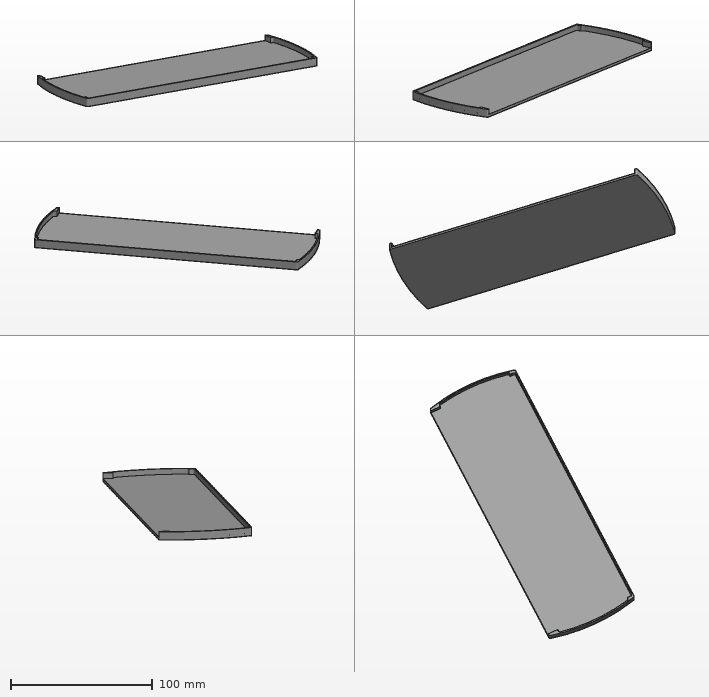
import cadquery as cq
import math

length = 200.0
width = 67.2
height = 6.0
floor_thickness = 2.0
wall = 1.0
corner_radius = 1.2
end_bow = 4.2
shoulder_inset = 5.8
left_block_edge = -26.2
right_block_edge = 28.8

half_width = width / 2
half_length = length / 2
bow_radius = (half_width**2 + end_bow**2) / (2 * end_bow)
bow_center_y = half_length - bow_radius
inner_bow_radius = bow_radius - wall
corner_y = half_length - end_bow
shoulder_y = half_length - shoulder_inset
wall_inner_x = half_width - wall
pocket_depth = height - floor_thickness


def inner_bow_y(x):
    """Y of the inner face of the +Y bowed wall."""
    return bow_center_y + math.sqrt(inner_bow_radius**2 - x**2)


def tray_blank():
    """Solid plate with straight sides, bowed ends and rounded corners."""
    return (
        cq.Workplane("XY")
        .moveTo(-half_width, -corner_y)
        .threePointArc((0, -half_length), (half_width, -corner_y))
        .lineTo(half_width, corner_y)
        .threePointArc((0, half_length), (-half_width, corner_y))
        .close()
        .extrude(height)
        .edges("|Z")
        .fillet(corner_radius)
    )


def main_pocket():
    """Rectangular recess that runs out through the open -X side."""
    open_end_x = -half_width - wall
    return (
        cq.Workplane("XY", origin=(0, 0, floor_thickness))
        .moveTo(open_end_x, -shoulder_y)
        .lineTo(wall_inner_x, -shoulder_y)
        .lineTo(wall_inner_x, shoulder_y)
        .lineTo(open_end_x, shoulder_y)
        .close()
        .extrude(pocket_depth)
        .edges("|Z and >X")
        .fillet(corner_radius)
    )


def bowed_pocket():
    """Recess between the corner blocks, following both bowed end walls."""
    left_y = inner_bow_y(left_block_edge)
    right_y = inner_bow_y(right_block_edge)
    crown_y = inner_bow_y(0)
    return (
        cq.Workplane("XY", origin=(0, 0, floor_thickness))
        .moveTo(left_block_edge, -left_y)
        .threePointArc((0, -crown_y), (right_block_edge, -right_y))
        .lineTo(right_block_edge, right_y)
        .threePointArc((0, crown_y), (left_block_edge, left_y))
        .close()
        .extrude(pocket_depth)
        .edges("|Z")
        .fillet(corner_radius)
    )


result = tray_blank().cut(main_pocket()).cut(bowed_pocket())